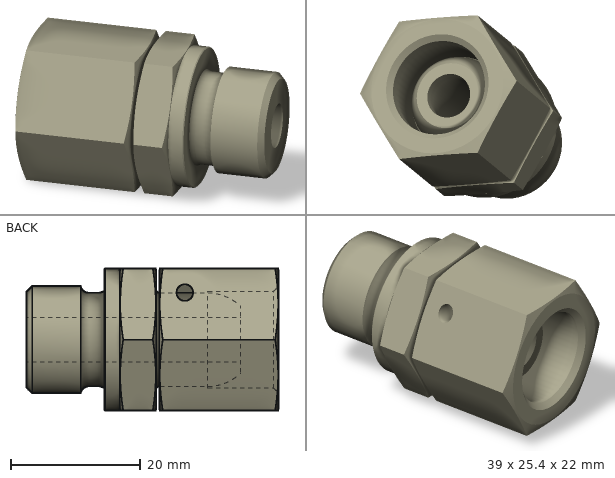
import cadquery as cq
import math

total_length = 39.0
nut_length = 18.45
hex_start = 18.9
hex_end = 24.57
collar_end = 27.0
groove_start = 27.85
groove_end = 29.35
thread_start = 30.6

across_flats = 22.0
hex_half_width = across_flats / 2
hex_corner_radius = hex_half_width / math.cos(math.radians(30))
hex_face_radius = 10.7
hex_chamfer_angle = 15.0

nut_bore_radius = 7.45
nut_mouth_chamfer = 0.85
wire_hole_radius = 1.3
wire_hole_x = 14.5

stem_radius = 7.25
through_bore_radius = 3.47
nose_start = 5.93
nose_face_radius = 5.2
collar_chamfer = 0.15
thread_radius = 8.3
thread_chamfer = 0.9
shoulder_blend_rise = 0.27

nose_center = nose_start + math.sqrt(stem_radius**2 - nose_face_radius**2)


def revolve_about_x(profile):
    return profile.close().revolve(360, (0, 0, 0), (1, 0, 0))


def chamfered_hexagon(start, end):
    """Hexagonal bar along X, flats up and down, with conical chamfers on both ends."""
    prism = (
        cq.Workplane("YZ", origin=(start, 0, 0))
        .polygon(6, 2 * hex_corner_radius)
        .extrude(end - start)
    )
    chamfer_depth = (hex_corner_radius - hex_face_radius) * math.tan(math.radians(hex_chamfer_angle))
    envelope = revolve_about_x(
        cq.Workplane("XY")
        .moveTo(start, 0)
        .lineTo(start, hex_face_radius)
        .lineTo(start + chamfer_depth, hex_corner_radius)
        .lineTo(end - chamfer_depth, hex_corner_radius)
        .lineTo(end, hex_face_radius)
        .lineTo(end, 0)
    )
    return prism.intersect(envelope)


def blend_middle(tangent_x, end_x, rise):
    """Middle point of a concave arc that leaves the stem tangentially and ends at end_x."""
    run = end_x - tangent_x
    radius = (run**2 + rise**2) / (2 * rise)
    half_angle = math.atan2(rise, abs(run))
    middle_x = tangent_x + math.copysign(radius * math.sin(half_angle), run)
    middle_radius = stem_radius + radius * (1 - math.cos(half_angle))
    return (middle_x, middle_radius)


def make_nut():
    body = chamfered_hexagon(0, nut_length)

    wire_hole = (
        cq.Workplane("XZ", origin=(wire_hole_x, 0, stem_radius))
        .circle(wire_hole_radius)
        .extrude(-hex_corner_radius)
    )
    body = body.cut(wire_hole)

    bore = revolve_about_x(
        cq.Workplane("XY")
        .lineTo(0, nut_bore_radius + nut_mouth_chamfer)
        .lineTo(nut_mouth_chamfer, nut_bore_radius)
        .lineTo(nose_center, nut_bore_radius)
        .lineTo(nose_center, stem_radius)
        .lineTo(nut_length, stem_radius)
        .lineTo(nut_length, 0)
    )
    return body.cut(bore)


def make_fitting():
    shoulder_radius = stem_radius + shoulder_blend_rise
    thread_rise = thread_radius - stem_radius
    nose_middle_angle = math.asin(nose_face_radius / stem_radius) / 2 + math.pi / 4
    nose_middle = (
        nose_center - stem_radius * math.cos(nose_middle_angle),
        stem_radius * math.sin(nose_middle_angle),
    )
    turned = revolve_about_x(
        cq.Workplane("XY")
        .moveTo(nose_start, through_bore_radius)
        .lineTo(nose_start, nose_face_radius)
        .threePointArc(nose_middle, (nose_center, stem_radius))
        .lineTo(nut_length, stem_radius)
        .threePointArc(
            blend_middle(nut_length, hex_start, shoulder_blend_rise), (hex_start, shoulder_radius)
        )
        .lineTo(hex_end, shoulder_radius)
        .lineTo(hex_end, hex_half_width)
        .lineTo(collar_end - collar_chamfer, hex_half_width)
        .lineTo(collar_end, hex_half_width - collar_chamfer)
        .lineTo(collar_end, shoulder_radius)
        .threePointArc(
            blend_middle(groove_start, collar_end, shoulder_blend_rise), (groove_start, stem_radius)
        )
        .lineTo(groove_end, stem_radius)
        .threePointArc(
            blend_middle(groove_end, thread_start, thread_rise), (thread_start, thread_radius)
        )
        .lineTo(total_length - thread_chamfer, thread_radius)
        .lineTo(total_length, thread_radius - thread_chamfer)
        .lineTo(total_length, through_bore_radius)
    )
    through_bore = cq.Workplane("YZ").circle(through_bore_radius).extrude(total_length)
    hexagon = chamfered_hexagon(hex_start, hex_end).cut(through_bore)
    return turned.union(hexagon)


nut = make_nut()
fitting = make_fitting()

result = cq.Compound.makeCompound([nut.val(), fitting.val()])